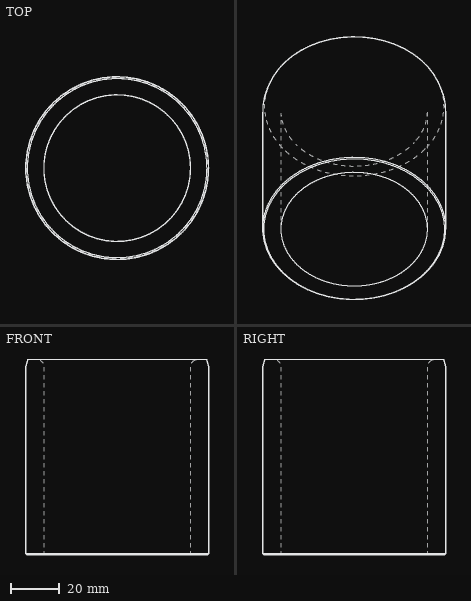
import cadquery as cq
import math

length = 80.0
outer_diameter = 75.0
bore_diameter = 60.0
lead_in_height = 3.0
lead_in_angle = 15.0
bore_mouth_radius = 3.0
bottom_chamfer = 0.5

outer_radius = outer_diameter / 2
bore_radius = bore_diameter / 2
lead_in_depth = lead_in_height * math.tan(math.radians(lead_in_angle))

wall_section = (
    cq.Workplane("XZ")
    .moveTo(bore_radius, 0)
    .lineTo(outer_radius - bottom_chamfer, 0)
    .lineTo(outer_radius, bottom_chamfer)
    .lineTo(outer_radius, length - lead_in_height)
    .lineTo(outer_radius - lead_in_depth, length)
    .lineTo(bore_radius + bore_mouth_radius, length)
    .radiusArc((bore_radius, length - bore_mouth_radius), -bore_mouth_radius)
    .close()
)

result = wall_section.revolve(360, (0, 0, 0), (0, 1, 0))